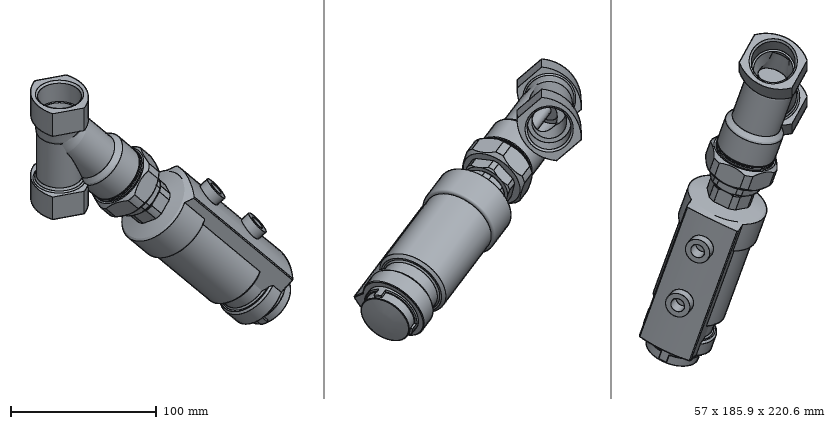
import cadquery as cq
import math


BRANCH_ANGLE = 40.0

PIPE_LENGTH = 90.0
PIPE_TOP = 27.8
PIPE_BOTTOM = PIPE_TOP - PIPE_LENGTH
PIPE_RADIUS = 16.0
PORT_AF = 41.0
PORT_FLAT_HALF = 11.4
PORT_DEPTH_HALF = 19.5
PORT_HEIGHT = 19.2
COLLAR_RADIUS = 18.3
COLLAR_HEIGHT = 1.2
CONE_TOP_RADIUS = 17.2
CONE_BOTTOM_RADIUS = 16.4
CONE_HEIGHT = 9.2
CONE_BLEND_HEIGHT = 1.2
FOOT_RADIUS = 17.1
FOOT_HEIGHT = 2.7
FOOT_FLARE_HEIGHT = 0.9

THREAD_RADIUS = 30.29 / 2
THREAD_MOUTH_RADIUS = 33.25 / 2
THREAD_DEPTH = 17.0
INLET_RADIUS = 13.65
INLET_END_RADIUS = 9.9
INLET_CONE_HEIGHT = 11.0
OUTLET_RADIUS = 12.0
OUTLET_TOP = -16.5

BRANCH_START_RADIUS = 16.35
BRANCH_RADIUS = 17.45
BRANCH_CONE_END = 9.0
SHOULDER_START = 39.6
SHOULDER_EDGE = 42.7
SHOULDER_EDGE_RADIUS = 20.4
SHOULDER_END = 43.9
SOCKET_RADIUS = 21.0
JOINT_RADIUS = 20.4
SOCKET_END = 62.8
BODY_END = 64.2
JOINT_CHAMFER = SOCKET_RADIUS - JOINT_RADIUS
SEAT_START = -15.0
SEAT_START_RADIUS = 7.0
SEAT_RADIUS = 10.5
SEAT_END = 6.5
CHAMBER_RADIUS = 13.5

PLUG_FACE = 1.6
STEM_RADIUS = 5.0
NUT_START = 66.1
NUT_END = 82.6
NUT_AF = 46.0
NUT_DIAMETER = 50.0
NUT_CHAMFER = 2.7
GLAND_END = 91.1
GLAND_AF = 34.0
GLAND_DIAMETER = 37.0
GLAND_CHAMFER = 1.3
GROOVE_RADIUS = 14.0
GROOVE_END = 92.2
ADAPTER_AF = 30.0
ADAPTER_DIAMETER = 32.0
ADAPTER_CHAMFER = 0.8

ACTUATOR_START = 103.8
FACE_INNER_RADIUS = 15.0
FACE_OUTER_RADIUS = 27.0
FACE_OUTER_STATION = 106.0
BEVEL_RADIUS = 33.5
BEVEL_STATION = 109.5
HEAD_RADIUS = 28.5
HEAD_END = 128.8
HEAD_END_ROUND = 2.0
BARREL_RADIUS = 26.0
BARREL_END = 198.2
BARREL_EDGE_CHAMFER = 2.2
WAIST_RADIUS = 21.2
RING_RADIUS = 25.0
RING_START = 211.0
RING_EDGE_CHAMFER = 1.5
WAIST_BLEND = 1.2
END_STATION = 224.1
END_TILT = 6.15
OVERRUN_STATION = END_STATION + 10.0
END_CHAMFER = 0.6
RAIL_WIDTH = 40.0
RAIL_CROWN = 30.65
RAIL_SIDE_HEIGHT = 27.5
RAIL_EDGE_CHAMFER = 0.8
AIR_PORT_STATIONS = (131.8, 178.2)
AIR_PORT_RADIUS = 17.9 / 2
AIR_PORT_TOP = 37.4
AIR_PORT_BORE_RADIUS = 5.0
AIR_PORT_DEPTH = 10.0

CAP_RADIUS = 20.65
CAP_RIM_END = 228.7
CAP_RIM_CHAMFER = 0.8
KNOB_RADIUS = 19.0
KNOB_END = 236.1
KNOB_CHAMFER = 0.4
DOME_END = 239.0
TAB_COUNT = 3
TAB_WIDTH = 6.0
TAB_END = 234.2


def along_branch(part):
    """Tilt a part from its local +Z axis onto the branch axis."""
    return part.rotate((0, 0, 0), (1, 0, 0), BRANCH_ANGLE - 180)


def revolved(profile):
    """Solid of revolution about Z from (radius, z) points that run from axis to axis."""
    return cq.Workplane("XZ").polyline(profile).close().revolve(360, (0, 0, 0), (0, 1, 0))


def cylinder(radius, start, end):
    return cq.Workplane("XY").workplane(offset=start).circle(radius).extrude(end - start)


def turned_hex(across_flats, diameter, start, end, start_chamfer, end_chamfer):
    """Hexagon with flats on local +-Y, its corners turned to a diameter and its ends chamfered."""
    prism = cq.Workplane("XY").workplane(offset=start)
    prism = prism.polygon(6, across_flats / math.cos(math.pi / 6)).extrude(end - start)
    turned = cylinder(diameter / 2, start, end)
    if start_chamfer:
        turned = turned.faces("<Z").chamfer(start_chamfer)
    if end_chamfer:
        turned = turned.faces(">Z").chamfer(end_chamfer)
    return prism.intersect(turned)


def port_end(bottom):
    """Pipe end with two wrench flats on +-X and rounded sides on +-Y."""
    half_width = PORT_AF / 2
    return (
        cq.Workplane("XY")
        .workplane(offset=bottom)
        .moveTo(half_width, -PORT_FLAT_HALF)
        .lineTo(half_width, PORT_FLAT_HALF)
        .threePointArc((0, PORT_DEPTH_HALF), (-half_width, PORT_FLAT_HALF))
        .lineTo(-half_width, -PORT_FLAT_HALF)
        .threePointArc((0, -PORT_DEPTH_HALF), (half_width, -PORT_FLAT_HALF))
        .close()
        .extrude(PORT_HEIGHT)
    )


def pipe_barrel():
    collar_top = PIPE_TOP - PORT_HEIGHT
    cone_top = collar_top - COLLAR_HEIGHT
    cone_bottom = cone_top - CONE_HEIGHT
    foot_bottom = PIPE_BOTTOM + PORT_HEIGHT
    return revolved([
        (0, foot_bottom),
        (COLLAR_RADIUS, foot_bottom),
        (FOOT_RADIUS, foot_bottom + FOOT_FLARE_HEIGHT),
        (PIPE_RADIUS, foot_bottom + FOOT_HEIGHT),
        (PIPE_RADIUS, cone_bottom - CONE_BLEND_HEIGHT),
        (CONE_BOTTOM_RADIUS, cone_bottom),
        (CONE_TOP_RADIUS, cone_top),
        (COLLAR_RADIUS, collar_top),
        (0, collar_top),
    ])


def branch_outside():
    return along_branch(revolved([
        (0, 0),
        (BRANCH_START_RADIUS, 0),
        (BRANCH_RADIUS, BRANCH_CONE_END),
        (BRANCH_RADIUS, SHOULDER_START),
        (SHOULDER_EDGE_RADIUS, SHOULDER_EDGE),
        (SOCKET_RADIUS, SHOULDER_END),
        (SOCKET_RADIUS, SOCKET_END),
        (JOINT_RADIUS, SOCKET_END + JOINT_CHAMFER),
        (JOINT_RADIUS, BODY_END),
        (0, BODY_END),
    ]))


def inlet_bore():
    mouth_depth = THREAD_MOUTH_RADIUS - THREAD_RADIUS
    step = PIPE_TOP - THREAD_DEPTH
    return revolved([
        (0, PIPE_TOP),
        (THREAD_MOUTH_RADIUS, PIPE_TOP),
        (THREAD_RADIUS, PIPE_TOP - mouth_depth),
        (THREAD_RADIUS, step),
        (INLET_RADIUS, step),
        (INLET_END_RADIUS, step - INLET_CONE_HEIGHT),
        (0, step - INLET_CONE_HEIGHT),
    ])


def outlet_bore():
    mouth_depth = THREAD_MOUTH_RADIUS - THREAD_RADIUS
    step = PIPE_BOTTOM + THREAD_DEPTH
    return revolved([
        (0, PIPE_BOTTOM),
        (THREAD_MOUTH_RADIUS, PIPE_BOTTOM),
        (THREAD_RADIUS, PIPE_BOTTOM + mouth_depth),
        (THREAD_RADIUS, step),
        (OUTLET_RADIUS, step),
        (OUTLET_RADIUS, OUTLET_TOP),
        (0, OUTLET_TOP),
    ])


def seat_and_chamber():
    return along_branch(revolved([
        (0, SEAT_START),
        (SEAT_START_RADIUS, SEAT_START),
        (SEAT_RADIUS, PLUG_FACE),
        (SEAT_RADIUS, SEAT_END),
        (CHAMBER_RADIUS, SEAT_END),
        (CHAMBER_RADIUS, BODY_END),
        (0, BODY_END),
    ]))


def make_valve_body():
    body = pipe_barrel().union(port_end(PIPE_TOP - PORT_HEIGHT)).union(port_end(PIPE_BOTTOM))
    body = body.union(branch_outside())
    return body.cut(inlet_bore()).cut(outlet_bore()).cut(seat_and_chamber())


def make_bonnet():
    plug = cylinder(SEAT_RADIUS, PLUG_FACE, SEAT_END)
    stem = cylinder(STEM_RADIUS, SEAT_END, BODY_END)
    flange = revolved([
        (0, BODY_END),
        (JOINT_RADIUS, BODY_END),
        (SOCKET_RADIUS, BODY_END + JOINT_CHAMFER),
        (SOCKET_RADIUS, NUT_START),
        (0, NUT_START),
    ])
    nut = turned_hex(NUT_AF, NUT_DIAMETER, NUT_START, NUT_END, NUT_CHAMFER, NUT_CHAMFER)
    gland = turned_hex(GLAND_AF, GLAND_DIAMETER, NUT_END, GLAND_END, 0, GLAND_CHAMFER)
    groove = cylinder(GROOVE_RADIUS, GLAND_END, GROOVE_END)
    adapter = turned_hex(ADAPTER_AF, ADAPTER_DIAMETER, GROOVE_END, ACTUATOR_START, ADAPTER_CHAMFER, 0)
    bonnet = plug
    for piece in (stem, flange, nut, gland, groove, adapter):
        bonnet = bonnet.union(piece)
    return along_branch(bonnet)


def above_end_plane():
    """Large block that fills everything beyond the tilted end plane of the actuator."""
    size = 4 * BEVEL_RADIUS
    block = cq.Workplane("XY").box(size, size, size, centered=(True, True, False))
    return block.rotate((0, 0, 0), (1, 0, 0), END_TILT).translate((0, 0, END_STATION))


def rail_blank():
    """Rail on local -Y with a crowned top and chamfered long edges."""
    half = RAIL_WIDTH / 2
    shoulder = half - RAIL_EDGE_CHAMFER
    return (
        cq.Workplane("XY")
        .workplane(offset=ACTUATOR_START)
        .moveTo(-half, 0)
        .lineTo(-half, RAIL_EDGE_CHAMFER - RAIL_SIDE_HEIGHT)
        .lineTo(-shoulder, -RAIL_SIDE_HEIGHT)
        .threePointArc((0, -RAIL_CROWN), (shoulder, -RAIL_SIDE_HEIGHT))
        .lineTo(half, RAIL_EDGE_CHAMFER - RAIL_SIDE_HEIGHT)
        .lineTo(half, 0)
        .close()
        .extrude(OVERRUN_STATION - ACTUATOR_START)
    )


def actuator_face_envelope():
    """Shallow cone on the front face, then a steeper bevel that also trims the rail."""
    return revolved([
        (0, ACTUATOR_START),
        (FACE_INNER_RADIUS, ACTUATOR_START),
        (FACE_OUTER_RADIUS, FACE_OUTER_STATION),
        (BEVEL_RADIUS, BEVEL_STATION),
        (2 * BEVEL_RADIUS, BEVEL_STATION),
        (2 * BEVEL_RADIUS, OVERRUN_STATION),
        (0, OVERRUN_STATION),
    ])


def barrel_waist_and_ring():
    return revolved([
        (0, ACTUATOR_START),
        (BARREL_RADIUS, ACTUATOR_START),
        (BARREL_RADIUS, BARREL_END - BARREL_EDGE_CHAMFER),
        (BARREL_RADIUS - BARREL_EDGE_CHAMFER, BARREL_END),
        (WAIST_RADIUS + WAIST_BLEND, BARREL_END),
        (WAIST_RADIUS, BARREL_END + WAIST_BLEND),
        (WAIST_RADIUS, RING_START - WAIST_BLEND),
        (WAIST_RADIUS + WAIST_BLEND, RING_START),
        (RING_RADIUS - RING_EDGE_CHAMFER, RING_START),
        (RING_RADIUS, RING_START + RING_EDGE_CHAMFER),
        (RING_RADIUS, OVERRUN_STATION),
        (0, OVERRUN_STATION),
    ])


def make_actuator():
    head = cylinder(HEAD_RADIUS, ACTUATOR_START, HEAD_END + HEAD_END_ROUND).faces(">Z").fillet(HEAD_END_ROUND)
    actuator = rail_blank().union(head).union(barrel_waist_and_ring())
    actuator = actuator.intersect(actuator_face_envelope()).cut(above_end_plane())
    tilt = math.radians(END_TILT)
    end_normal = cq.Vector(0, -math.sin(tilt), math.cos(tilt))
    actuator = actuator.faces(cq.selectors.DirectionSelector(end_normal)).chamfer(END_CHAMFER)
    for station in AIR_PORT_STATIONS:
        port_plane = cq.Plane(origin=(0, -AIR_PORT_TOP, station), xDir=(1, 0, 0), normal=(0, 1, 0))
        boss = cq.Workplane(port_plane).circle(AIR_PORT_RADIUS).extrude(AIR_PORT_DEPTH)
        bore = cq.Workplane(port_plane).circle(AIR_PORT_BORE_RADIUS).extrude(AIR_PORT_DEPTH)
        actuator = actuator.union(boss).cut(bore)
    return along_branch(actuator)


def make_end_cap():
    dome_edge_radius = KNOB_RADIUS - KNOB_CHAMFER
    dome_rise = DOME_END - KNOB_END
    dome_radius = (dome_edge_radius**2 + dome_rise**2) / (2 * dome_rise)
    dome_ball = cq.Workplane("XY").sphere(dome_radius).translate((0, 0, DOME_END - dome_radius))
    dome = cylinder(dome_edge_radius, RING_START, DOME_END).intersect(dome_ball)
    knob = cylinder(KNOB_RADIUS, RING_START, KNOB_END).faces(">Z").chamfer(KNOB_CHAMFER)
    rim = cylinder(CAP_RADIUS, RING_START, CAP_RIM_END).faces(">Z").chamfer(CAP_RIM_CHAMFER)
    cap = rim.union(knob).union(dome)
    tab_start = CAP_RIM_END - CAP_RIM_CHAMFER
    for index in range(TAB_COUNT):
        tab = cq.Workplane("XY").workplane(offset=tab_start)
        tab = tab.center(0, -CAP_RADIUS / 2).rect(TAB_WIDTH, CAP_RADIUS).extrude(TAB_END - tab_start)
        tab = tab.intersect(cylinder(CAP_RADIUS, tab_start, TAB_END))
        cap = cap.union(tab.rotate((0, 0, 0), (0, 0, 1), index * 360 / TAB_COUNT))
    return along_branch(cap.intersect(above_end_plane()))


valve_body = make_valve_body()
bonnet = make_bonnet()
actuator = make_actuator()
end_cap = make_end_cap()

result = cq.Compound.makeCompound([
    valve_body.solids().val(),
    bonnet.solids().val(),
    actuator.solids().val(),
    end_cap.solids().val(),
])